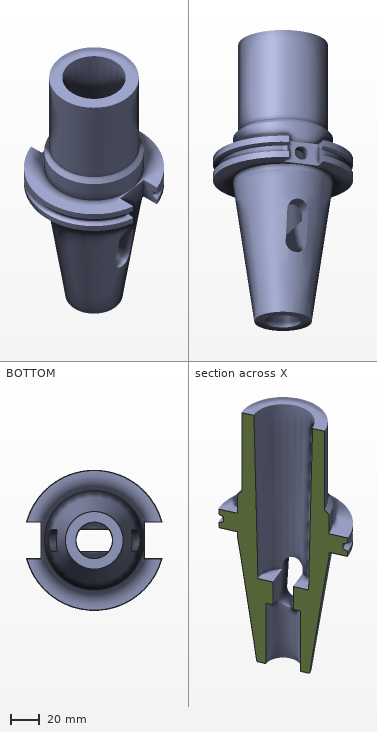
import cadquery as cq

TOTAL_HEIGHT = 205.7
TAPER_TOP = 101.2
FLANGE_BOTTOM = 105.0
FLANGE_THICKNESS = 15.8
SHOULDER_TOP = 140.0
SOCKET_FLOOR = 70.0

TUBE_RADIUS = 31.5
BODY_RADIUS = 35.0
FLANGE_RADIUS = 49.2
GROOVE_RADIUS = 45.5
TAPER_END_RADIUS = BODY_RADIUS - TAPER_TOP * 7 / 48

GROOVE_FLOOR_WIDTH = 4.0
GROOVE_MOUTH_WIDTH = 6.8

SOCKET_MOUTH_RADIUS = 22.2
SOCKET_FLOOR_RADIUS = 19.1
LOWER_BORE_RADIUS = 12.8
SLOT_WIDTH = 15.5
SLOT_HEIGHT = 37.9
SLOT_CENTER_Z = 61.7

NOTCH_WIDTH = 25.5
LEFT_NOTCH_FLOOR = 37.5
RIGHT_NOTCH_FLOOR = 35.2
NOTCH_HOLE_DIAMETER = 9.9
NOTCH_HOLE_DEPTH = 8.2

LOWER_BORE_TOP = SLOT_CENTER_Z - (SLOT_HEIGHT - SLOT_WIDTH) / 2
FLANGE_TOP = FLANGE_BOTTOM + FLANGE_THICKNESS
FLANGE_MIDDLE = FLANGE_BOTTOM + FLANGE_THICKNESS / 2
SHOULDER_CHAMFER = BODY_RADIUS - TUBE_RADIUS


def revolve_profile(points):
    """Revolve a closed (radius, height) outline about the Z axis."""
    return cq.Workplane("XZ").polyline(points).close().revolve(360, (0, 0, 0), (0, 1, 0))


def make_body():
    return revolve_profile([
        (0, 0),
        (TAPER_END_RADIUS, 0),
        (BODY_RADIUS, TAPER_TOP),
        (BODY_RADIUS, FLANGE_BOTTOM),
        (FLANGE_RADIUS, FLANGE_BOTTOM),
        (FLANGE_RADIUS, FLANGE_MIDDLE - GROOVE_MOUTH_WIDTH / 2),
        (GROOVE_RADIUS, FLANGE_MIDDLE - GROOVE_FLOOR_WIDTH / 2),
        (GROOVE_RADIUS, FLANGE_MIDDLE + GROOVE_FLOOR_WIDTH / 2),
        (FLANGE_RADIUS, FLANGE_MIDDLE + GROOVE_MOUTH_WIDTH / 2),
        (FLANGE_RADIUS, FLANGE_TOP),
        (BODY_RADIUS, FLANGE_TOP),
        (BODY_RADIUS, SHOULDER_TOP - SHOULDER_CHAMFER),
        (TUBE_RADIUS, SHOULDER_TOP),
        (TUBE_RADIUS, TOTAL_HEIGHT),
        (0, TOTAL_HEIGHT),
    ])


def make_lower_bore():
    return revolve_profile([
        (0, 0),
        (LOWER_BORE_RADIUS, 0),
        (LOWER_BORE_RADIUS, LOWER_BORE_TOP),
        (0, LOWER_BORE_TOP),
    ])


def make_socket():
    return revolve_profile([
        (0, SOCKET_FLOOR),
        (SOCKET_FLOOR_RADIUS, SOCKET_FLOOR),
        (SOCKET_MOUTH_RADIUS, TOTAL_HEIGHT),
        (0, TOTAL_HEIGHT),
    ])


def make_tang_slot():
    """Upright round-ended slot running through the taper along X."""
    return (
        cq.Workplane("YZ")
        .center(0, SLOT_CENTER_Z)
        .slot2D(SLOT_HEIGHT, SLOT_WIDTH, 90)
        .extrude(BODY_RADIUS, both=True)
    )


def make_notch(side, floor):
    """Drive notch; side is -1 for the -X flank and +1 for the +X flank."""
    depth = FLANGE_RADIUS - floor
    return (
        cq.Workplane("XY")
        .box(depth, NOTCH_WIDTH, FLANGE_THICKNESS)
        .translate((side * (floor + depth / 2), 0, FLANGE_MIDDLE))
    )


def make_notch_hole():
    return (
        cq.Workplane("YZ", origin=(-LEFT_NOTCH_FLOOR, 0, FLANGE_MIDDLE))
        .circle(NOTCH_HOLE_DIAMETER / 2)
        .extrude(NOTCH_HOLE_DEPTH)
    )


result = (
    make_body()
    .cut(make_socket())
    .cut(make_lower_bore())
    .cut(make_tang_slot())
    .cut(make_notch(-1, LEFT_NOTCH_FLOOR))
    .cut(make_notch(1, RIGHT_NOTCH_FLOOR))
    .cut(make_notch_hole())
)